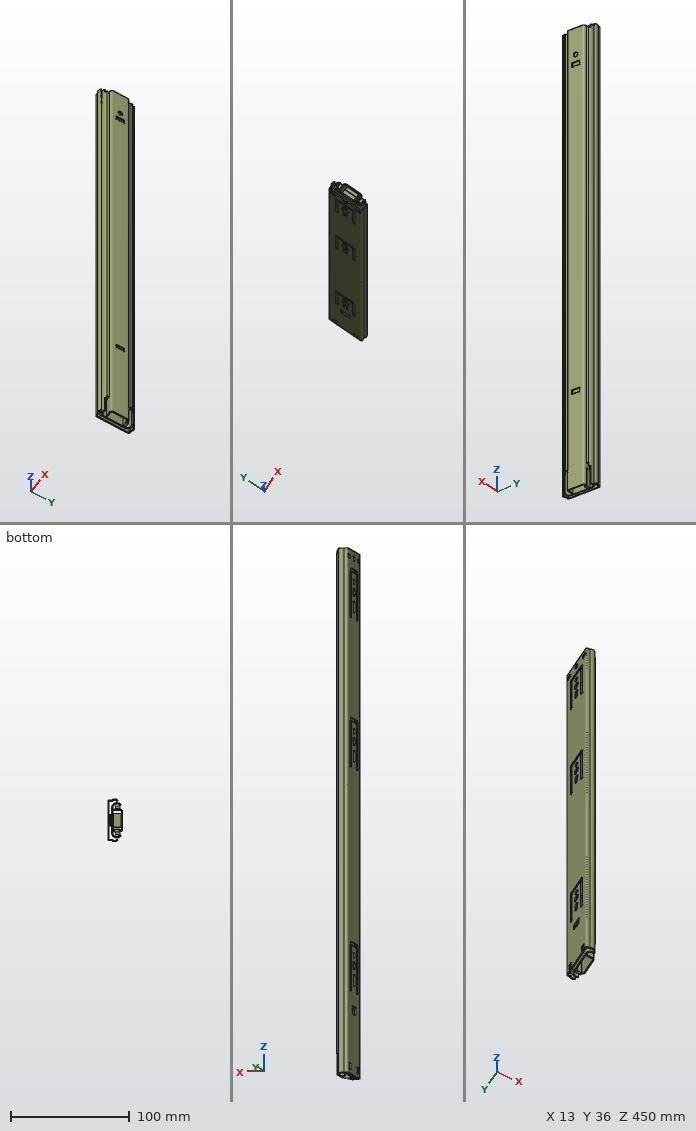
import cadquery as cq
import math

TOP_Z = 225.0
BOTTOM_Z = -223.5
LEVER_BOTTOM_Z = -225.0
SHEET = 1.12

CUT_MARGIN = 4.5
CUT_OVERRUN = 0.5
WEB_CUT_DEPTH = -(CUT_MARGIN + SHEET + CUT_OVERRUN)

OUTER_WEB_X = -6.5
OUTER_WALL_Y = 17.0
OUTER_CORNER_R = 1.5
OUTER_RACE_X = -0.5
OUTER_RACE_Y = 14.5
OUTER_RACE_R = 3.5
OUTER_LIP_ANGLE = 50

MIDDLE_RACE_X = 1.5
MIDDLE_RACE_Y = 10.5
MIDDLE_RACE_R = 4.5
MIDDLE_LIP_ANGLE = 55
MIDDLE_WEB_X = MIDDLE_RACE_X - MIDDLE_RACE_R
LIP_NOTCH_X = 3.38
TOP_NOTCH_HEIGHT = 3.0
BOTTOM_NOTCH_HEIGHT = 17.0

INNER_FRONT_X = 6.5
INNER_WALL_Y = 9.5
INNER_CORNER_R = 2.2
INNER_EDGE_X = -1.0

GROUP_TOPS = (209.2, 81.5, -110.2)
U_OUTER_HALF = 10.12
U_LEG_WIDTH = 2.5
U_BAR_HEIGHT = 2.5
U_HEIGHT = 42.5
U_CORNER_R = 2.0
SMALL_HOLE_DROP = 10.5
SMALL_HOLE_R = 2.2
LARGE_HOLE_DROP = 19.5
LARGE_HOLE_R = 3.38
SLOT_DROP = 32.0
SLOT_LENGTH = 10.0
SLOT_WIDTH = 4.5

WINDOW_GROUPS = (GROUP_TOPS[0], GROUP_TOPS[2])
WINDOW_WIDTH = 8.0
WINDOW_HEIGHT = 4.0

TOP_HOLE_Z = 218.5
EDGE_SLOT_Z = 218.5
EDGE_SLOT_HEIGHT = 2.5
EDGE_SLOT_INNER_Y = 10.5
EDGE_SLOT_OUTER_Y = 15.8
FOOT_HOLE_Y = 11.0
FOOT_HOLE_Z = -217.5
FOOT_HOLE_WIDTH = 4.0
FOOT_HOLE_HEIGHT = 5.5

STOP_TOP_Z = -164.5
STOP_WIDTH = 9.5
STOP_HEIGHT = 6.8
STOP_CORNER_R = 2.0
STOP_REACH = 2.2

RETAINER_X = (0.0, 4.0)
RETAINER_Y = (9.68, 12.0)
RETAINER_Z = (-202.5, 223.5)

BLOCK_X = (-2.0, 5.0)
BLOCK_HALF_WIDTH = 6.0
BLOCK_HEIGHT = 11.2
BLOCK_STEP_X = 2.0
BLOCK_STEP_DEPTH = 1.5

LEVER_X = (-1.0, 3.38)
LEVER_Y = (7.42, 10.0)
LEVER_TOP_Z = -207.0


def box(x, y, z):
    """Box between the (low, high) limits along each axis."""
    size = [high - low for low, high in (x, y, z)]
    return cq.Workplane("XY").box(*size, centered=False).translate((x[0], y[0], z[0]))


def on_arc(center, radius, angle):
    """Point on a circle, with the angle in degrees from +Y towards +X."""
    turn = math.radians(angle)
    return (center[0] + radius * math.sin(turn), center[1] + radius * math.cos(turn))


def rail(half_outline):
    """Extrude the +Y half of a section over the rail length and add its mirror image."""
    half = half_outline.close().extrude(TOP_Z - BOTTOM_Z)
    return half.union(half.mirror("XZ")).clean()


def section():
    return cq.Workplane("XY").workplane(offset=BOTTOM_Z)


def web_cutter(x):
    """Workplane facing -X, just outside a web at x: its local axes are -Y and Z."""
    return cq.Workplane(cq.Plane((x - CUT_MARGIN, 0, 0), (0, -1, 0), (-1, 0, 0)))


def mounting_group(top):
    """Cutter for the U-shaped slot and the three holes on the tongue inside it."""
    u_slot = (
        web_cutter(OUTER_WEB_X)
        .center(0, top - U_HEIGHT / 2)
        .rect(2 * U_OUTER_HALF, U_HEIGHT)
        .extrude(WEB_CUT_DEPTH)
        .edges("|X and >Z")
        .fillet(U_CORNER_R)
    )
    tongue_height = U_HEIGHT - U_BAR_HEIGHT
    tongue = (
        web_cutter(OUTER_WEB_X)
        .center(0, top - U_HEIGHT + tongue_height / 2)
        .rect(2 * (U_OUTER_HALF - U_LEG_WIDTH), tongue_height)
        .extrude(WEB_CUT_DEPTH)
    )
    holes = (
        web_cutter(OUTER_WEB_X)
        .pushPoints([(0, top - SMALL_HOLE_DROP)])
        .circle(SMALL_HOLE_R)
        .pushPoints([(0, top - LARGE_HOLE_DROP)])
        .circle(LARGE_HOLE_R)
        .extrude(WEB_CUT_DEPTH)
    )
    slot = (
        web_cutter(OUTER_WEB_X)
        .center(0, top - SLOT_DROP)
        .slot2D(SLOT_LENGTH, SLOT_WIDTH, 90)
        .extrude(WEB_CUT_DEPTH)
    )
    return u_slot.cut(tongue).union(holes).union(slot)


def stop_opening():
    return (
        web_cutter(OUTER_WEB_X)
        .center(0, STOP_TOP_Z - STOP_HEIGHT / 2)
        .rect(STOP_WIDTH, STOP_HEIGHT)
        .extrude(WEB_CUT_DEPTH)
        .edges("|X and <Z")
        .fillet(STOP_CORNER_R)
    )


def stop_tongue():
    return (
        cq.Workplane("XZ")
        .moveTo(OUTER_WEB_X, STOP_TOP_Z)
        .lineTo(OUTER_WEB_X + SHEET, STOP_TOP_Z)
        .line(STOP_REACH - SHEET, SHEET - STOP_REACH)
        .line(0, -SHEET)
        .close()
        .extrude(STOP_WIDTH / 2, both=True)
    )


def outer_rail():
    race = (OUTER_RACE_X, OUTER_RACE_Y)
    inner_r = OUTER_RACE_R - SHEET
    wall_inside = OUTER_WALL_Y - SHEET
    start = -math.degrees(math.acos((OUTER_WALL_Y - OUTER_RACE_Y) / OUTER_RACE_R))
    inside_start = -math.degrees(math.acos((wall_inside - OUTER_RACE_Y) / inner_r))
    corner = (OUTER_WEB_X + OUTER_CORNER_R, OUTER_WALL_Y - OUTER_CORNER_R)
    body = rail(
        section()
        .moveTo(OUTER_WEB_X, 0)
        .lineTo(OUTER_WEB_X, corner[1])
        .threePointArc(on_arc(corner, OUTER_CORNER_R, -45), (corner[0], OUTER_WALL_Y))
        .lineTo(*on_arc(race, OUTER_RACE_R, start))
        .threePointArc(on_arc(race, OUTER_RACE_R, 0), on_arc(race, OUTER_RACE_R, OUTER_LIP_ANGLE))
        .lineTo(*on_arc(race, inner_r, OUTER_LIP_ANGLE))
        .threePointArc(on_arc(race, inner_r, 0), on_arc(race, inner_r, inside_start))
        .lineTo(OUTER_WEB_X + SHEET, wall_inside)
        .lineTo(OUTER_WEB_X + SHEET, 0)
    )
    for top in GROUP_TOPS:
        body = body.cut(mounting_group(top))
    top_hole = web_cutter(OUTER_WEB_X).center(0, TOP_HOLE_Z).circle(SMALL_HOLE_R).extrude(WEB_CUT_DEPTH)
    edge_slot_y = (EDGE_SLOT_INNER_Y + EDGE_SLOT_OUTER_Y) / 2
    edge_slots = (
        web_cutter(OUTER_WEB_X)
        .pushPoints([(side * edge_slot_y, EDGE_SLOT_Z) for side in (-1, 1)])
        .rect(EDGE_SLOT_OUTER_Y - EDGE_SLOT_INNER_Y, EDGE_SLOT_HEIGHT)
        .extrude(WEB_CUT_DEPTH)
    )
    foot_holes = (
        web_cutter(OUTER_WEB_X)
        .pushPoints([(side * FOOT_HOLE_Y, FOOT_HOLE_Z) for side in (-1, 1)])
        .rect(FOOT_HOLE_WIDTH, FOOT_HOLE_HEIGHT)
        .extrude(WEB_CUT_DEPTH)
    )
    body = body.cut(top_hole).cut(edge_slots).cut(foot_holes)
    return body.cut(stop_opening()).union(stop_tongue())


def web_openings(x):
    """Cutter for the windows and the through hole in a web whose -X face is at x."""
    windows = (
        web_cutter(x)
        .pushPoints([(0, top - LARGE_HOLE_DROP) for top in WINDOW_GROUPS])
        .rect(WINDOW_WIDTH, WINDOW_HEIGHT)
        .extrude(WEB_CUT_DEPTH)
    )
    hole = (
        web_cutter(x)
        .center(0, GROUP_TOPS[0] - SMALL_HOLE_DROP)
        .circle(SMALL_HOLE_R)
        .extrude(WEB_CUT_DEPTH)
    )
    return windows.union(hole)


def middle_rail():
    race = (MIDDLE_RACE_X, MIDDLE_RACE_Y)
    inner_r = MIDDLE_RACE_R - SHEET
    body = rail(
        section()
        .moveTo(MIDDLE_WEB_X, 0)
        .lineTo(MIDDLE_WEB_X, MIDDLE_RACE_Y)
        .threePointArc(on_arc(race, MIDDLE_RACE_R, 0), on_arc(race, MIDDLE_RACE_R, MIDDLE_LIP_ANGLE))
        .lineTo(*on_arc(race, inner_r, MIDDLE_LIP_ANGLE))
        .threePointArc(on_arc(race, inner_r, 0), on_arc(race, inner_r, -90))
        .lineTo(MIDDLE_WEB_X + SHEET, 0)
    )
    notch_x = (LIP_NOTCH_X, INNER_FRONT_X)
    notch_y = (-OUTER_WALL_Y, OUTER_WALL_Y)
    top_notch = box(notch_x, notch_y, (TOP_Z - TOP_NOTCH_HEIGHT, TOP_Z))
    bottom_notch = box(notch_x, notch_y, (BOTTOM_Z, BOTTOM_Z + BOTTOM_NOTCH_HEIGHT))
    return body.cut(top_notch).cut(bottom_notch).cut(web_openings(MIDDLE_WEB_X))


def inner_rail():
    corner = (INNER_FRONT_X - INNER_CORNER_R, INNER_WALL_Y - INNER_CORNER_R)
    inside_r = INNER_CORNER_R - SHEET
    web_inside = INNER_FRONT_X - SHEET
    body = rail(
        section()
        .moveTo(INNER_FRONT_X, 0)
        .lineTo(INNER_FRONT_X, corner[1])
        .threePointArc(on_arc(corner, INNER_CORNER_R, 45), (corner[0], INNER_WALL_Y))
        .lineTo(INNER_EDGE_X, INNER_WALL_Y)
        .lineTo(INNER_EDGE_X, INNER_WALL_Y - SHEET)
        .lineTo(corner[0], INNER_WALL_Y - SHEET)
        .threePointArc(on_arc(corner, inside_r, 45), (web_inside, corner[1]))
        .lineTo(web_inside, 0)
    )
    lever_recess = box(LEVER_X, LEVER_Y, (BOTTOM_Z, LEVER_TOP_Z))
    return body.cut(lever_recess).cut(web_openings(web_inside))


def ball_retainer(side):
    """Straight strip beside the inner rail: side is 1 for +Y, -1 for -Y."""
    strip_y = sorted(side * y for y in RETAINER_Y)
    return box(RETAINER_X, strip_y, RETAINER_Z)


def stop_block():
    width = (-BLOCK_HALF_WIDTH, BLOCK_HALF_WIDTH)
    body = box(BLOCK_X, width, (TOP_Z - BLOCK_HEIGHT, TOP_Z))
    return body.cut(box((BLOCK_STEP_X, BLOCK_X[1]), width, (TOP_Z - BLOCK_STEP_DEPTH, TOP_Z)))


def release_lever():
    return box(LEVER_X, LEVER_Y, (LEVER_BOTTOM_Z, LEVER_TOP_Z))


outer = outer_rail()
middle = middle_rail()
inner = inner_rail()
retainers = [ball_retainer(side) for side in (-1, 1)]
block = stop_block()
lever = release_lever()

result = cq.Compound.makeCompound(
    [
        outer.val(),
        middle.val(),
        inner.val(),
        *[retainer.val() for retainer in retainers],
        block.val(),
        lever.val(),
    ]
)